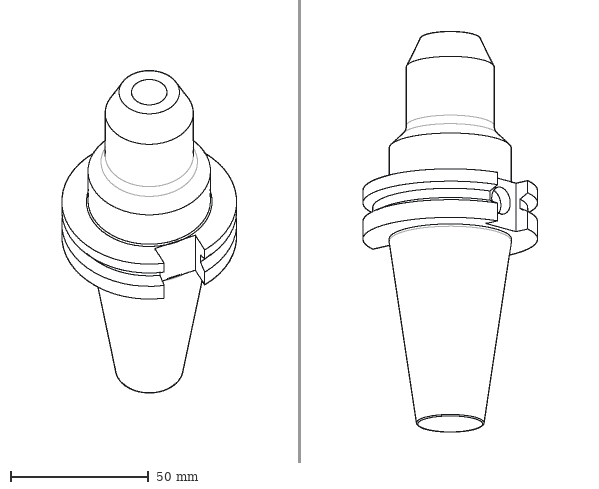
import cadquery as cq
import math

total_height = 144.5
gauge_height = 68.5
flange_bottom = 69.3
flange_top = 87.5
groove_center = 79.5
shoulder_height = 103.4
tip_cone_bottom = 133.8

gauge_radius = 22.2
taper_ratio = 7 / 24
taper_end_radius = gauge_radius - gauge_height * taper_ratio / 2
taper_end_chamfer = 0.5
flange_radius = 31.8
nose_radius = 16.0
tip_radius = 11.0

groove_radius = 28.2
groove_floor_width = 3.5
groove_mouth_width = 7.0

neck_fillet = 0.6
nose_fillet = 5.0
shoulder_angle = math.radians(45)

slot_width = 16.2
left_slot_floor = 25.0
right_slot_floor = 22.5
index_hole_diameter = 10.0
index_hole_depth = 4.6
bore_diameter = 12.9
bore_depth = 44.8


def make_body():
    """Revolve the taper, flange, neck and nose about Z."""
    groove_floor_bottom = groove_center - groove_floor_width / 2
    groove_floor_top = groove_center + groove_floor_width / 2
    groove_mouth_bottom = groove_center - groove_mouth_width / 2
    groove_mouth_top = groove_center + groove_mouth_width / 2

    fillet_center_radius = nose_radius + nose_fillet
    fillet_low_radius = fillet_center_radius - nose_fillet * math.cos(shoulder_angle)
    fillet_low = shoulder_height + (gauge_radius - fillet_low_radius) * math.tan(shoulder_angle)
    fillet_high = fillet_low + nose_fillet * math.sin(shoulder_angle)
    fillet_mid = (
        fillet_center_radius - nose_fillet * math.cos(shoulder_angle / 2),
        fillet_high - nose_fillet * math.sin(shoulder_angle / 2),
    )

    neck_mid_offset = neck_fillet * (1 - math.sqrt(0.5))

    profile = (
        cq.Workplane("XZ")
        .moveTo(0, 0)
        .lineTo(taper_end_radius - taper_end_chamfer, 0)
        .lineTo(taper_end_radius + taper_end_chamfer * taper_ratio / 2, taper_end_chamfer)
        .lineTo(gauge_radius, gauge_height)
        .lineTo(gauge_radius, flange_bottom)
        .lineTo(flange_radius, flange_bottom)
        .lineTo(flange_radius, groove_mouth_bottom)
        .lineTo(groove_radius, groove_floor_bottom)
        .lineTo(groove_radius, groove_floor_top)
        .lineTo(flange_radius, groove_mouth_top)
        .lineTo(flange_radius, flange_top)
        .lineTo(gauge_radius + neck_fillet, flange_top)
        .threePointArc(
            (gauge_radius + neck_mid_offset, flange_top + neck_mid_offset),
            (gauge_radius, flange_top + neck_fillet),
        )
        .lineTo(gauge_radius, shoulder_height)
        .lineTo(fillet_low_radius, fillet_low)
        .threePointArc(fillet_mid, (nose_radius, fillet_high))
        .lineTo(nose_radius, tip_cone_bottom)
        .lineTo(tip_radius, total_height)
        .lineTo(0, total_height)
        .close()
    )
    return profile.revolve(360, (0, 0, 0), (0, 1, 0))


def make_drive_slot(floor_distance, side):
    """Slot cutter through the flange; side is -1 for -X and +1 for +X."""
    slot_length = flange_radius
    return (
        cq.Workplane("XY", origin=(0, 0, flange_bottom))
        .center(side * (floor_distance + slot_length / 2), 0)
        .rect(slot_length, slot_width)
        .extrude(flange_top - flange_bottom)
    )


def make_index_hole():
    """Blind radial hole in the floor of the -X slot."""
    return (
        cq.Workplane("YZ", origin=(-left_slot_floor, 0, groove_center))
        .circle(index_hole_diameter / 2)
        .extrude(index_hole_depth)
    )


def make_bore():
    """Blind tool bore from the nose face."""
    return (
        cq.Workplane("XY", origin=(0, 0, total_height))
        .circle(bore_diameter / 2)
        .extrude(-bore_depth)
    )


result = (
    make_body()
    .cut(make_drive_slot(left_slot_floor, -1))
    .cut(make_drive_slot(right_slot_floor, 1))
    .cut(make_index_hole())
    .cut(make_bore())
)